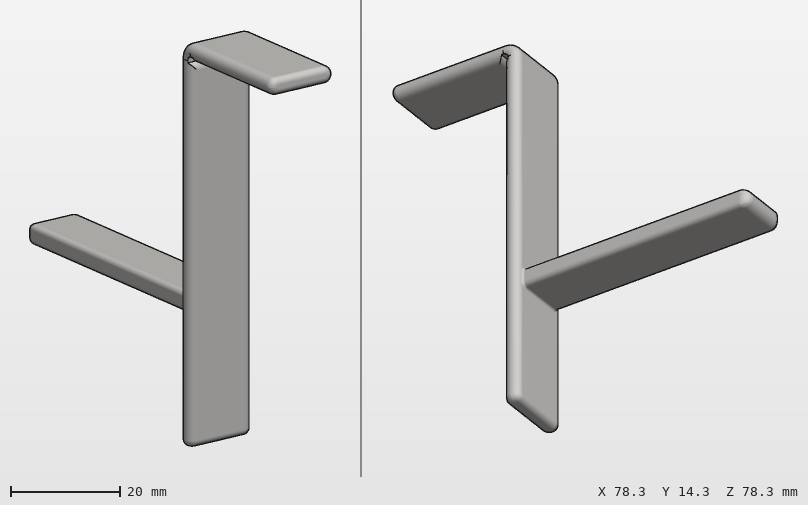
import cadquery as cq
import math

thickness = 3.28
width = 14.26
height = 78.31
hook_reach = 28.31
side_flat = 0.02
side_radius = (thickness - side_flat) / 2
end_radius = 1.25
bend_radius = thickness

relief_radius = 0.95
lip_start = 0.3

peg_length = 50.0
peg_width = 10.92
peg_height = 3.9
peg_center_z = 27.06
peg_edge_radius = 1.0
peg_tip_radius = 1.94
peg_root_radius = 0.5

upright_length = height - bend_radius
hook_length = hook_reach - bend_radius
link_thickness = thickness - relief_radius


def leg(length):
    """Leg along +Z from its free end at Z = 0 to the bend, with a rounded lip at the relief."""
    bar = (
        cq.Workplane("XY")
        .box(thickness, width, length, centered=(False, True, False))
        .edges("|Z")
        .fillet(side_radius)
        .faces("<Z")
        .edges()
        .fillet(end_radius)
    )
    lipped_bar = (
        cq.Workplane("XY")
        .box(thickness, width, length - lip_start, centered=(False, True, False))
        .edges("|Z or (>Z and >X)")
        .fillet(side_radius)
        .faces("<Z")
        .edges()
        .fillet(end_radius)
    )
    link_zone = cq.Workplane("XY").box(
        link_thickness, width, length, centered=(False, True, False)
    )
    return lipped_bar.union(bar.intersect(link_zone))


def bend():
    """Quarter turn joining the legs: their round-sided section, thinned by the relief."""
    half_width = width / 2
    flat_half_width = half_width - side_radius
    past_middle = link_thickness - side_radius
    inner_half_width = flat_half_width + math.sqrt(side_radius ** 2 - past_middle ** 2)
    section = (
        cq.Workplane("XY")
        .moveTo(0, -flat_half_width)
        .threePointArc((side_radius, -half_width), (link_thickness, -inner_half_width))
        .lineTo(link_thickness, inner_half_width)
        .threePointArc((side_radius, half_width), (0, flat_half_width))
        .close()
    )
    turn = section.revolve(90, (bend_radius, 0, 0), (bend_radius, 1, 0))
    return turn.translate((0, 0, upright_length))


def hook():
    """Upper leg: a leg turned so that it runs from its free end back to the bend."""
    turned = leg(hook_length).mirror("YZ").rotate((0, 0, 0), (0, 1, 0), -90)
    return turned.translate((hook_reach, 0, height))


def peg():
    """Flat peg along -X with rounded edges and a fully rounded tip, its root at X = 0."""
    return (
        cq.Workplane("XY")
        .box(peg_length, peg_width, peg_height)
        .edges("|X")
        .fillet(peg_edge_radius)
        .faces("<X")
        .edges()
        .fillet(peg_tip_radius)
        .translate((-peg_length / 2, 0, peg_center_z))
    )


def blend_peg_root(body):
    """Round the inner corner all around the peg where it meets the upright."""
    reach = 0.1
    root_zone = cq.selectors.BoxSelector(
        (-reach, -peg_width / 2, peg_center_z - peg_height / 2 - reach),
        (reach, peg_width / 2, peg_center_z + peg_height / 2 + reach),
    )
    return body.edges(root_zone).fillet(peg_root_radius)


strip = leg(upright_length).union(bend()).union(hook())
result = blend_peg_root(strip.union(peg()))